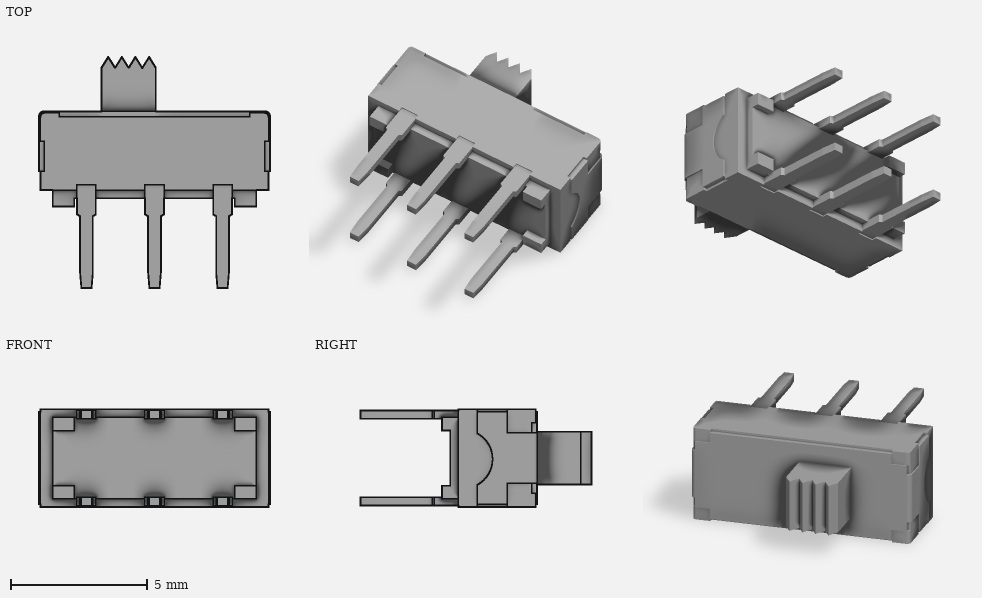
import cadquery as cq


BODY_LENGTH = 8.38
BODY_HEIGHT = 3.6
BODY_FRONT = 2.85
BODY_CORNER_RADIUS = 0.15

COVER_LENGTH = 8.5
COVER_HEIGHT = 3.4
COVER_FRONT = 2.9
COVER_THICKNESS = 0.2
COVER_BEND_RADIUS = 0.2
PLATE_LENGTH = 7.0
STRAP_HEIGHT = 1.86
TAB_LENGTH = 8.15
TAB_HEIGHT = 2.6
FLANGE_FRONT = 1.8
FLANGE_REAR = 0.69
NOTCH_DEPTH = 0.57
NOTCH_HALF_CHORD = 0.95
NOTCH_Z = -0.04

SLIDER_LENGTH = 2.0
SLIDER_HEIGHT = 1.95
SLIDER_X = -0.95
SLIDER_FRONT = 4.9
TOOTH_COUNT = 4
TOOTH_DEPTH = 0.4

BASE_LENGTH = 7.48
BASE_HEIGHT = 3.0
BASE_DEPTH = 0.3
FOOT_LENGTH = 0.8
FOOT_HEIGHT = 0.49
FOOT_DEPTH = 0.6

PIN_PITCH = 2.5
PIN_COLUMNS = (-1, 0, 1)
PIN_THICKNESS = 0.31
PIN_INSET = 0.05
PIN_START = 0.2
PIN_SHOULDER_Y = -0.89
PIN_SHOULDER_SLOPE = 0.065
PIN_TAPER_Y = -3.02
PIN_END = -3.6
PIN_ROOT_WIDTH = 0.7
PIN_WIDTH = 0.48
PIN_TIP_WIDTH = 0.38

SIDES = (-1, 1)
COVER_INNER_FRONT = COVER_FRONT - COVER_THICKNESS
COVER_INNER_LENGTH = COVER_LENGTH - 2 * COVER_THICKNESS


def block(length, y_rear, y_front, height, x=0.0, z=0.0):
    """Box centred on x and z, running from y_rear to y_front."""
    size_y = y_front - y_rear
    return cq.Workplane("XY").box(length, size_y, height).translate((x, y_rear + size_y / 2, z))


def make_body():
    """Box with rounded front corners, cut away where the cover sits."""
    body = block(BODY_LENGTH, 0, BODY_FRONT, BODY_HEIGHT)
    body = body.edges("|Z and >Y").fillet(BODY_CORNER_RADIUS)
    body = body.cut(block(PLATE_LENGTH, COVER_INNER_FRONT, BODY_FRONT, BODY_HEIGHT))
    body = body.cut(block(BODY_LENGTH, COVER_INNER_FRONT, BODY_FRONT, TAB_HEIGHT))
    recess_width = (BODY_LENGTH - COVER_INNER_LENGTH) / 2
    recess_x = BODY_LENGTH / 2 - recess_width / 2
    for side in SIDES:
        body = body.cut(block(recess_width, FLANGE_REAR, FLANGE_FRONT, BODY_HEIGHT, side * recess_x))
    return body


def make_cover():
    """Front plate bent round to two side flanges that fill the body recesses."""
    cover = block(COVER_LENGTH, FLANGE_REAR, COVER_FRONT, STRAP_HEIGHT)
    cover = cover.edges("|Z and >Y").fillet(COVER_BEND_RADIUS)
    cover = cover.union(block(PLATE_LENGTH, COVER_INNER_FRONT, COVER_FRONT, COVER_HEIGHT))
    cover = cover.union(block(TAB_LENGTH, COVER_INNER_FRONT, COVER_FRONT, TAB_HEIGHT))
    cover = cover.union(block(COVER_LENGTH, FLANGE_REAR, FLANGE_FRONT, COVER_HEIGHT))
    inside = block(COVER_INNER_LENGTH, FLANGE_REAR, COVER_INNER_FRONT, COVER_HEIGHT)
    return cover.cut(inside).cut(make_flange_notches())


def make_flange_notches():
    """Arc-shaped bite in the rear edge of both flanges."""
    return (
        cq.Workplane("YZ")
        .moveTo(FLANGE_REAR, NOTCH_Z - NOTCH_HALF_CHORD)
        .threePointArc((FLANGE_REAR + NOTCH_DEPTH, NOTCH_Z), (FLANGE_REAR, NOTCH_Z + NOTCH_HALF_CHORD))
        .close()
        .extrude(COVER_LENGTH / 2, both=True)
    )


def make_notch_fill():
    """Body material that fills the flange notches flush with the body sides."""
    return make_flange_notches().intersect(block(BODY_LENGTH, 0, BODY_FRONT, BODY_HEIGHT))


def make_slider():
    """Knob with a row of pointed teeth across its front."""
    left = SLIDER_X - SLIDER_LENGTH / 2
    pitch = SLIDER_LENGTH / TOOTH_COUNT
    root_y = SLIDER_FRONT - TOOTH_DEPTH
    outline = [(left + SLIDER_LENGTH, COVER_INNER_FRONT), (left, COVER_INNER_FRONT), (left, root_y)]
    for tooth in range(TOOTH_COUNT):
        start = left + tooth * pitch
        outline.append((start + pitch / 2, SLIDER_FRONT))
        outline.append((start + pitch, root_y))
    return cq.Workplane("XY").polyline(outline).close().extrude(SLIDER_HEIGHT / 2, both=True)


def make_base():
    """Raised rear pad with a foot at each corner."""
    base = block(BASE_LENGTH, -BASE_DEPTH, 0, BASE_HEIGHT)
    foot_x = (BASE_LENGTH - FOOT_LENGTH) / 2
    foot_z = (BASE_HEIGHT - FOOT_HEIGHT) / 2
    for side_x in SIDES:
        for side_z in SIDES:
            foot = block(FOOT_LENGTH, -FOOT_DEPTH, 0, FOOT_HEIGHT, side_x * foot_x, side_z * foot_z)
            base = base.union(foot)
    return base


def make_pin(x, side_z):
    """Flat pin: wide root, sloped shoulders, narrow shank and tapered tip."""
    right_edge = [
        (PIN_ROOT_WIDTH / 2, PIN_START),
        (PIN_ROOT_WIDTH / 2, PIN_SHOULDER_Y),
        (PIN_WIDTH / 2, PIN_SHOULDER_Y - PIN_SHOULDER_SLOPE),
        (PIN_WIDTH / 2, PIN_TAPER_Y),
        (PIN_TIP_WIDTH / 2, PIN_END),
    ]
    left_edge = [(-edge_x, y) for edge_x, y in reversed(right_edge)]
    z = side_z * (BODY_HEIGHT / 2 - PIN_INSET - PIN_THICKNESS / 2)
    pin = cq.Workplane("XY").polyline(right_edge + left_edge).close()
    return pin.extrude(PIN_THICKNESS / 2, both=True).translate((x, 0, z))


def make_pin_slot(x, side_z):
    """Slot in the body that leaves the outer face of the pin root open."""
    depth = PIN_INSET + PIN_THICKNESS
    return block(PIN_ROOT_WIDTH, 0, PIN_START, depth, x, side_z * (BODY_HEIGHT - depth) / 2)


result = make_body().union(make_notch_fill()).union(make_cover())
result = result.union(make_slider()).union(make_base())
for column in PIN_COLUMNS:
    for row in SIDES:
        pin_x = column * PIN_PITCH
        result = result.cut(make_pin_slot(pin_x, row)).union(make_pin(pin_x, row))